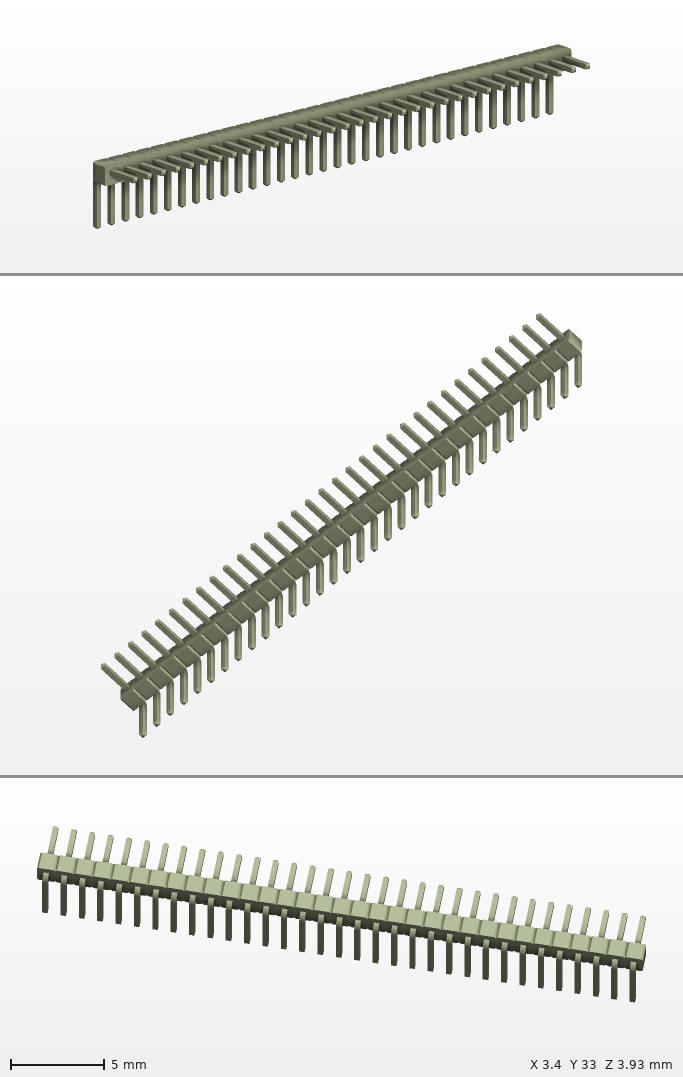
import cadquery as cq


pin_count = 33
row_length = 33.0
pitch = row_length / pin_count

bar_width = 1.0
bar_height = 1.2
notch_depth = 0.1

pin_size = 0.3
pin_axis_depth = 0.5
overall_height = 3.93
overall_width = 3.4
leg_overhang = 0.4
bend_outer_radius = 0.5
bend_inner_radius = bend_outer_radius - pin_size
tip_chamfer = 0.1

pin_top = pin_size / 2 - pin_axis_depth
pin_bottom = pin_top - pin_size
bend_level = pin_top - bend_outer_radius

pin_positions = [(index - (pin_count - 1) / 2) * pitch for index in range(pin_count)]


def make_bar():
    """Bar end profile with a V notch between positions, top and bottom, run along X."""
    flat_half = pitch / 2 - notch_depth
    top_edge = []
    for y in pin_positions:
        top_edge += [
            (y - pitch / 2, -notch_depth),
            (y - flat_half, 0),
            (y + flat_half, 0),
        ]
    top_edge.append((row_length / 2, -notch_depth))
    bottom_edge = [(y, -bar_height - z) for y, z in reversed(top_edge)]
    return (
        cq.Workplane("YZ")
        .workplane(offset=leg_overhang)
        .polyline(top_edge + bottom_edge)
        .close()
        .extrude(bar_width)
    )


def make_pin():
    """One bent pin centred on Y = 0, with chamfered tips."""
    bent_bar = (
        cq.Workplane("XZ")
        .moveTo(0, -overall_height)
        .lineTo(pin_size, -overall_height)
        .lineTo(pin_size, bend_level)
        .radiusArc((bend_outer_radius, pin_bottom), bend_inner_radius)
        .lineTo(overall_width, pin_bottom)
        .lineTo(overall_width, pin_top)
        .lineTo(bend_outer_radius, pin_top)
        .radiusArc((0, bend_level), -bend_outer_radius)
        .close()
        .extrude(pin_size / 2, both=True)
    )
    mating_tip_done = bent_bar.faces(">X").chamfer(tip_chamfer)
    return mating_tip_done.faces("<Z").chamfer(tip_chamfer)


bar = make_bar().val()
pin = make_pin().val()
pins = [pin.translate(cq.Vector(0, y, 0)) for y in pin_positions]
result = cq.Workplane(bar.fuse(*pins).Solids()[0])